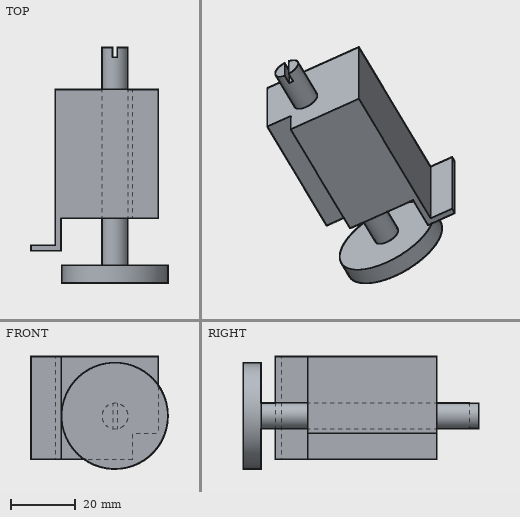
import cadquery as cq

block_side = 32.0
block_length = 40.0
block_front_y = 20.0
notch_side = 8.2

bracket_thickness = 1.8
bracket_front_y = 9.9
flange_reach = 7.5

axis_x = 2.5
axis_z = -2.5
shaft_diameter = 8.0
shaft_end_y = 73.0
knob_diameter = 33.0
knob_thickness = 5.55
slot_width = 1.4
slot_depth = 3.0

half_side = block_side / 2
block_back_y = block_front_y + block_length


def cylinder_along_y(diameter, start_y, end_y):
    """Cylinder on the shaft axis, running from start_y to end_y."""
    start = cq.Plane(origin=(axis_x, start_y, axis_z), xDir=(1, 0, 0), normal=(0, 1, 0))
    return cq.Workplane(start).circle(diameter / 2).extrude(end_y - start_y)


def make_corner_notch():
    """Square bar removed along the full length of the block's lower +X edge."""
    return (
        cq.Workplane("XY")
        .box(notch_side, block_length, notch_side, centered=False)
        .translate((half_side - notch_side, block_front_y, -half_side))
    )


def make_housing():
    """Block and bent bracket as one extruded outline, notched and bored through for the shaft."""
    bracket_inner_x = -half_side + bracket_thickness
    flange_back_y = bracket_front_y + bracket_thickness
    outline = [
        (half_side, block_back_y),
        (-half_side, block_back_y),
        (-half_side, flange_back_y),
        (-half_side - flange_reach, flange_back_y),
        (-half_side - flange_reach, bracket_front_y),
        (bracket_inner_x, bracket_front_y),
        (bracket_inner_x, block_front_y),
        (half_side, block_front_y),
    ]
    body = cq.Workplane("XY").polyline(outline).close().extrude(half_side, both=True)
    bore = cylinder_along_y(shaft_diameter, block_front_y, block_back_y)
    return body.cut(make_corner_notch()).cut(bore)


def make_knob_shaft():
    """Shaft carrying the knob at the front and a screwdriver slot at the back."""
    knob = cylinder_along_y(knob_diameter, 0, knob_thickness)
    shaft = cylinder_along_y(shaft_diameter, knob_thickness, shaft_end_y)
    slot = (
        cq.Workplane("XY")
        .box(slot_width, slot_depth, shaft_diameter)
        .translate((axis_x, shaft_end_y - slot_depth / 2, axis_z))
    )
    return knob.union(shaft).cut(slot)


housing = make_housing()
knob_shaft = make_knob_shaft()

result = cq.Compound.makeCompound([housing.val(), knob_shaft.val()])